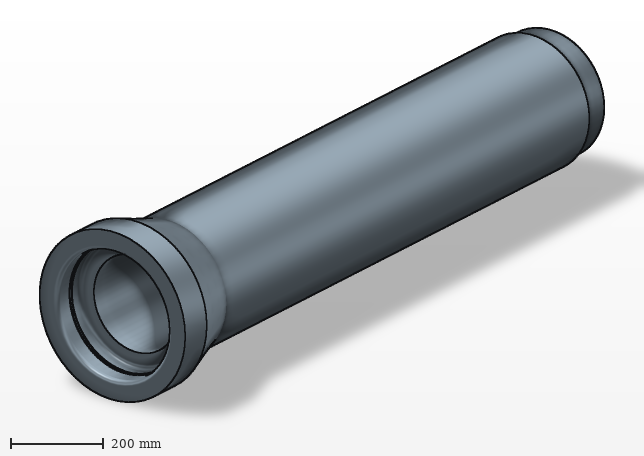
import cadquery as cq

total_length = 1580.0
barrel_radius = 156.0
bore_radius = 112.0

collar_radius = 196.0
collar_length = 77.0
flare_length = 123.0

spigot_radius = 147.0
spigot_length = 75.0
spigot_rounding = 11.0

recess_radius = 149.0
recess_depth = 84.0
mouth_rounding = 11.0
floor_fillet = 11.0

groove_start = 46.0
groove_width = 8.0
groove_depth = 2.0

socket_face = -total_length / 2
spigot_face = total_length / 2


def make_outer_body():
    """Solid body: collar, conical flare, barrel and spigot with a rounded end."""
    collar_end = socket_face + collar_length
    flare_end = collar_end + flare_length
    shoulder = spigot_face - spigot_length
    outline = [
        (0, socket_face),
        (collar_radius, socket_face),
        (collar_radius, collar_end),
        (barrel_radius, flare_end),
        (barrel_radius, shoulder),
        (spigot_radius, shoulder),
        (spigot_radius, spigot_face),
        (0, spigot_face),
    ]
    body = cq.Workplane("XY").polyline(outline).close().revolve(360, (0, 0), (0, 1))
    return body.faces(">Y").edges().fillet(spigot_rounding)


def cylinder_from_socket(radius, start, length):
    """Cylinder on the Y axis that starts a given depth inside the socket face."""
    plane = cq.Workplane("XZ", origin=(0, socket_face + start, 0))
    return plane.circle(radius).extrude(-length)


def make_cavity():
    """Socket recess with a filleted floor, its ring groove and the through bore."""
    recess = cylinder_from_socket(recess_radius, 0, recess_depth)
    recess = recess.faces(">Y").edges().fillet(floor_fillet)
    groove = cylinder_from_socket(recess_radius + groove_depth, groove_start, groove_width)
    bore = cylinder_from_socket(bore_radius, 0, total_length)
    return recess.union(groove).union(bore)


def round_mouth(pipe):
    """Round the inner edge of the socket face."""
    inner_edge = cq.selectors.RadiusNthSelector(0)
    return pipe.faces("<Y").edges(inner_edge).fillet(mouth_rounding)


result = round_mouth(make_outer_body().cut(make_cavity()))